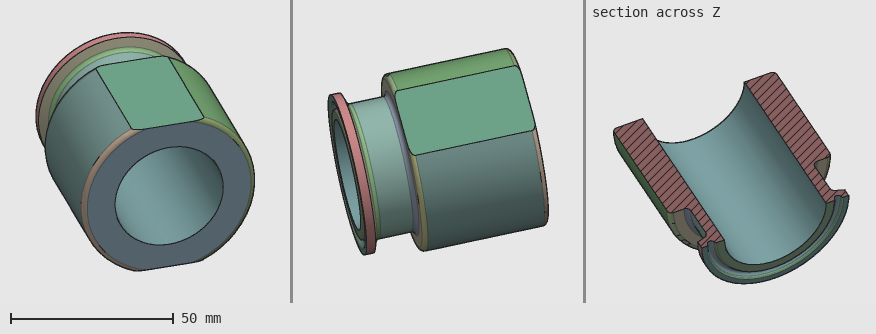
import cadquery as cq
import math

TOTAL_LENGTH = 57.15
RIM_WIDTH = 2.85
BODY_START = 17.2

BORE_DIAMETER = 34.8
NECK_DIAMETER = 42.6
FLANGE_DIAMETER = 50.4
BODY_DIAMETER = 55.9

WIDTH_ACROSS_FLATS = 50.8

NECK_FILLET = 1.55
BODY_ROUND = 1.55

FLANGE_TAPER = math.radians(20)

GROOVE_DIAMETER = 43.5
GROOVE_DEPTH = 1.6
GROOVE_FLOOR_RADIUS = 1.1
GROOVE_WALL_SLOPE = math.radians(20)
GROOVE_LIP_ROUND = 0.4


def disc(start, end, diameter):
    """Solid cylinder about the X axis between two X positions."""
    return cq.Workplane("YZ", origin=(start, 0, 0)).circle(diameter / 2).extrude(end - start)


def spin(outline):
    """Revolve an outline of (x, radius) points about the X axis."""
    return outline.close().revolve(360, (0, 0, 0), (1, 0, 0))


def make_ferrule():
    """Clamp flange, tapered at the back, with a neck running to the body."""
    neck_radius = NECK_DIAMETER / 2
    flange_radius = FLANGE_DIAMETER / 2
    taper_end = RIM_WIDTH + (flange_radius - neck_radius) * math.tan(FLANGE_TAPER)
    return spin(cq.Workplane("XY").polyline([
        (0, 0),
        (0, flange_radius),
        (RIM_WIDTH, flange_radius),
        (taper_end, neck_radius),
        (BODY_START, neck_radius),
        (BODY_START, 0),
    ]))


def make_body():
    """Round body with rounded ends, cut by two flats across Z."""
    body = disc(BODY_START, TOTAL_LENGTH, BODY_DIAMETER)
    body = body.edges("%CIRCLE").fillet(BODY_ROUND)
    between_flats = cq.Workplane("XY").box(2 * TOTAL_LENGTH, BODY_DIAMETER, WIDTH_ACROSS_FLATS)
    return body.intersect(between_flats)


def make_groove():
    """Ring-shaped cutter whose sloping walls run tangent into a round floor."""
    middle = GROOVE_DIAMETER / 2
    floor_center = GROOVE_DEPTH - GROOVE_FLOOR_RADIUS
    wall_end = floor_center + GROOVE_FLOOR_RADIUS * math.sin(GROOVE_WALL_SLOPE)
    half_floor = GROOVE_FLOOR_RADIUS * math.cos(GROOVE_WALL_SLOPE)
    half_mouth = half_floor + wall_end * math.tan(GROOVE_WALL_SLOPE)
    return spin(
        cq.Workplane("XY")
        .moveTo(0, middle - half_mouth)
        .lineTo(wall_end, middle - half_floor)
        .threePointArc((GROOVE_DEPTH, middle), (wall_end, middle + half_floor))
        .lineTo(0, middle + half_mouth)
    )


blank = make_ferrule().union(make_body())
blank = blank.edges(cq.selectors.RadiusNthSelector(0)).fillet(NECK_FILLET)

grooved = blank.cut(make_groove())

face_circles = grooved.faces("<X").edges()
inner_lip = face_circles.edges(cq.selectors.RadiusNthSelector(0))
outer_lip = face_circles.edges(cq.selectors.RadiusNthSelector(1))
grooved = inner_lip.add(outer_lip).fillet(GROOVE_LIP_ROUND)

result = grooved.cut(disc(0, TOTAL_LENGTH, BORE_DIAMETER))